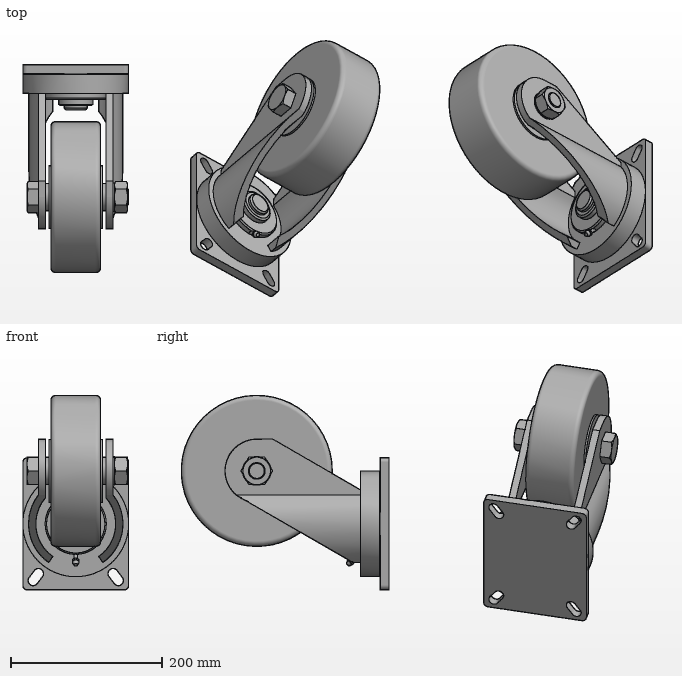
import cadquery as cq
import math


overall_length = 275.0
overall_height = 257.5

plate_width = 140.0
plate_height = 175.0
plate_thickness = 12.0
plate_corner_radius = 6.0
slot_width = 13.2
slot_inner_reach = 82.2
slot_outer_reach = 93.8
slot_angle = math.degrees(math.atan2(4, 3))

kingpin_radius = 15.5
kingpin_tip_radius = 13.2
kingpin_end = 60.0
kingpin_tip_length = 2.5
collar_radius = 22.8
collar_face_radius = 20.0
collar_end = 54.2
collar_chamfer_length = 1.6

swivel_gap = 0.5
ring_radius = plate_width / 2
ring_end = 38.0
boss_radius = 40.5
boss_end = 46.2
boss_chamfer = 2.0
leg_thickness = 9.5
leg_outer_x = 49.5
leg_arc_radius = 62.5
leg_arc_end_angle = 35.0
leg_end_radius = 42.0
leg_slope = 30.0
leg_shoulder = leg_end_radius / 2

nipple_tip_y = -55.0
nipple_tip_z = -54.2
nipple_tilt = 45.0
nipple_length = 22.0
nipple_stem_radius = 2.6
nipple_head_radius = 4.5
nipple_tip_radius = 2.5
nipple_head_length = 8.0
nipple_taper_length = 4.7

wheel_diameter = 200.0
wheel_width = 66.0
wheel_edge_radius = 6.5
hub_radius = 41.8
hub_width = 71.0
sleeve_radius = 18.2

axle_radius = 11.0
axle_end_x = 69.8
axle_end_chamfer = 1.0
hex_across_flats = 36.3
hex_chamfer_angle = 30.0
bolt_head_length = 14.8
nut_flange_radius = 19.0
nut_flange_thickness = 1.6
nut_end_x = 68.5

wheel_radius = wheel_diameter / 2
axle_y = -(overall_length - wheel_radius)
axle_z = overall_height - wheel_radius - plate_height / 2
leg_inner_x = leg_outer_x - leg_thickness
leg_fold_z = math.sqrt(leg_arc_radius**2 - leg_outer_x**2)


def swivel_disc(radius, start, end):
    """Cylinder about the swivel axis between two distances from the mounting face."""
    return cq.Workplane("XZ", origin=(0, -start, 0)).circle(radius).extrude(end - start)


def axle_disc(radius, start_x, end_x):
    """Cylinder about the axle between two X positions."""
    return cq.Workplane("YZ", origin=(start_x, axle_y, axle_z)).circle(radius).extrude(end_x - start_x)


def chamfered_hex(start_x, end_x, chamfer_start, chamfer_end):
    """Hexagon along the axle with corners toward +-Y; its ends are turned down by a cone."""
    length = end_x - start_x
    corner_radius = hex_across_flats / 2 / math.cos(math.pi / 6)
    prism = (
        cq.Workplane("YZ", origin=(start_x, axle_y, axle_z))
        .polygon(6, 2 * corner_radius)
        .extrude(length)
    )
    flat_radius = hex_across_flats / 2
    depth = (corner_radius - flat_radius) * math.tan(math.radians(hex_chamfer_angle))
    start_depth = depth if chamfer_start else 0
    end_depth = depth if chamfer_end else 0
    profile = [(0, 0)]
    if chamfer_start:
        profile.append((0, flat_radius))
    profile.append((start_depth, corner_radius))
    profile.append((length - end_depth, corner_radius))
    if chamfer_end:
        profile.append((length, flat_radius))
    profile.append((length, 0))
    turned = (
        cq.Workplane("XY", origin=(start_x, axle_y, axle_z))
        .polyline(profile)
        .close()
        .revolve(360, (0, 0, 0), (1, 0, 0))
    )
    return prism.intersect(turned)


def make_plate():
    """Slotted mounting plate with the kingpin that carries the fork."""
    plate = (
        cq.Workplane("XZ")
        .rect(plate_width, plate_height)
        .extrude(plate_thickness)
        .edges("|Y")
        .fillet(plate_corner_radius)
    )
    slot_middle = (slot_inner_reach + slot_outer_reach) / 2
    slot_length = slot_outer_reach - slot_inner_reach + slot_width
    for angle in (slot_angle, 180 - slot_angle, 180 + slot_angle, 360 - slot_angle):
        turn = math.radians(angle)
        slot = (
            cq.Workplane("XZ")
            .center(slot_middle * math.cos(turn), slot_middle * math.sin(turn))
            .slot2D(slot_length, slot_width, angle)
            .extrude(plate_thickness)
        )
        plate = plate.cut(slot)

    kingpin_profile = [
        (0, -plate_thickness),
        (kingpin_radius, -plate_thickness),
        (kingpin_radius, -boss_end),
        (collar_radius, -boss_end),
        (collar_radius, -(collar_end - collar_chamfer_length)),
        (collar_face_radius, -collar_end),
        (kingpin_radius, -collar_end),
        (kingpin_radius, -(kingpin_end - kingpin_tip_length)),
        (kingpin_tip_radius, -kingpin_end),
        (0, -kingpin_end),
    ]
    kingpin = cq.Workplane("XY").polyline(kingpin_profile).close().revolve(360, (0, 0, 0), (0, 1, 0))
    return plate.union(kingpin)


def make_leg_section():
    """Both legs drawn out along Y: flat plates that run into arcs about the swivel axis."""
    reach = -axle_y + leg_end_radius - ring_end
    top_z = axle_z + leg_end_radius
    inner_arc_radius = leg_arc_radius - leg_thickness
    end_turn = math.radians(leg_arc_end_angle)

    def arc_point(radius, turn):
        """Point at an angle from straight down."""
        return (radius * math.sin(turn), -radius * math.cos(turn))

    inner_start = (leg_inner_x, math.sqrt(inner_arc_radius**2 - leg_inner_x**2))
    leg = (
        cq.Workplane("XZ", origin=(0, -ring_end, 0))
        .moveTo(leg_inner_x, top_z)
        .lineTo(leg_outer_x, top_z)
        .lineTo(leg_outer_x, leg_fold_z)
        .threePointArc((leg_arc_radius, 0), arc_point(leg_arc_radius, end_turn))
        .lineTo(*arc_point(inner_arc_radius, end_turn))
        .threePointArc((inner_arc_radius, 0), inner_start)
        .close()
        .extrude(reach)
    )
    return leg.union(leg.mirror("YZ"))


def make_leg_outline():
    """Side outline of the legs, as a block wide enough to trim both of them.

    The lower sloping edge leaves the rounded end where the fold line meets it.
    """
    slope = math.radians(leg_slope)
    top_z = axle_z + leg_end_radius
    shoulder_y = axle_y + leg_shoulder
    upper_root_z = top_z - (-ring_end - shoulder_y) * math.tan(slope)
    lower_start_y = axle_y - math.sqrt(leg_end_radius**2 - (axle_z - leg_fold_z) ** 2)
    lower_root_z = leg_fold_z - (-ring_end - lower_start_y) * math.tan(slope)
    return (
        cq.Workplane("YZ")
        .moveTo(-ring_end, upper_root_z)
        .lineTo(shoulder_y, top_z)
        .lineTo(axle_y, top_z)
        .threePointArc((axle_y - leg_end_radius, axle_z), (lower_start_y, leg_fold_z))
        .lineTo(-ring_end, lower_root_z)
        .close()
        .extrude(leg_arc_radius, both=True)
    )


def make_grease_nipple():
    """Nipple turned about its own axis, from its tip back into the boss."""
    tilt = math.radians(nipple_tilt)
    plane = cq.Plane(
        origin=(0, nipple_tip_y, nipple_tip_z),
        xDir=(1, 0, 0),
        normal=(0, -math.sin(tilt), math.cos(tilt)),
    )
    profile = [
        (0, 0),
        (nipple_tip_radius, 0),
        (nipple_head_radius, nipple_taper_length),
        (nipple_head_radius, nipple_head_length),
        (nipple_stem_radius, nipple_head_length),
        (nipple_stem_radius, nipple_length),
        (0, nipple_length),
    ]
    return cq.Workplane(plane).polyline(profile).close().revolve(360, (0, 0, 0), (0, 1, 0))


def make_fork():
    """Swivel ring, boss, two legs and grease nipple, bored for kingpin and axle."""
    ring = swivel_disc(ring_radius, plate_thickness + swivel_gap, ring_end)
    boss = swivel_disc(boss_radius, ring_end, boss_end).faces("<Y").chamfer(boss_chamfer)
    legs = make_leg_section().intersect(make_leg_outline())
    kingpin_bore = swivel_disc(kingpin_radius, plate_thickness, boss_end)
    axle_bore = axle_disc(axle_radius, -leg_outer_x, leg_outer_x)
    solid_fork = ring.union(boss).union(legs).union(make_grease_nipple())
    return solid_fork.cut(kingpin_bore).cut(axle_bore)


def make_wheel():
    """Wheel with rounded tread edges, hub faces and a sleeve that reaches both legs."""
    tread = axle_disc(wheel_radius, -wheel_width / 2, wheel_width / 2).edges().fillet(wheel_edge_radius)
    hub = axle_disc(hub_radius, -hub_width / 2, hub_width / 2)
    sleeve = axle_disc(sleeve_radius, -leg_inner_x, leg_inner_x)
    bore = axle_disc(axle_radius, -leg_inner_x, leg_inner_x)
    return tread.union(hub).union(sleeve).cut(bore)


def make_axle_bolt():
    """Bolt with its hexagon head on the -X leg."""
    head = chamfered_hex(-leg_outer_x - bolt_head_length, -leg_outer_x, True, False)
    shank = axle_disc(axle_radius, -leg_outer_x, axle_end_x).faces(">X").chamfer(axle_end_chamfer)
    return head.union(shank)


def make_axle_nut():
    """Hexagon nut with a round flange against the +X leg."""
    flange_end_x = leg_outer_x + nut_flange_thickness
    flange = axle_disc(nut_flange_radius, leg_outer_x, flange_end_x)
    hexagon = chamfered_hex(flange_end_x, nut_end_x, True, True)
    return flange.union(hexagon).cut(axle_disc(axle_radius, leg_outer_x, nut_end_x))


plate = make_plate()
fork = make_fork()
wheel = make_wheel()
axle_bolt = make_axle_bolt()
axle_nut = make_axle_nut()

bodies = [plate, fork, wheel, axle_bolt, axle_nut]
result = cq.Compound.makeCompound([body.solids().val() for body in bodies])